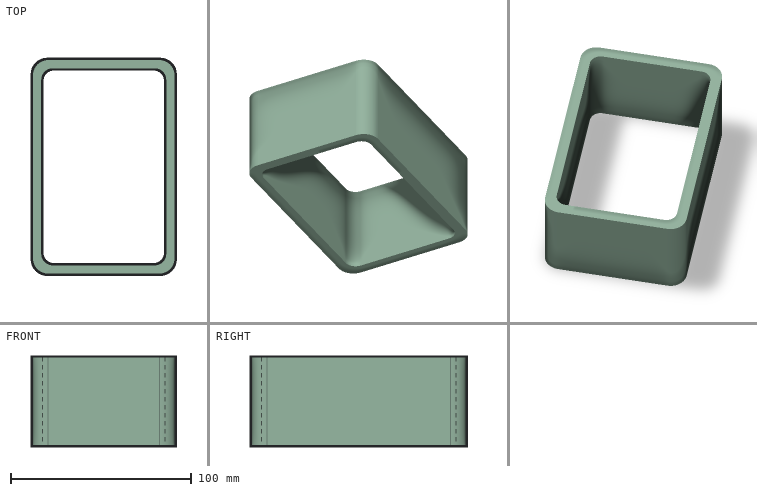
import cadquery as cq

width = 80.0
depth = 120.0
length = 50.0
wall = 6.0
outer_radius = 1.5 * wall
inner_radius = wall


def rounded_block(size_x, size_y, corner_radius):
    """Full-length block, centred in X and Y, with rounded upright edges."""
    block = cq.Workplane("XY").rect(size_x, size_y).extrude(length)
    return block.edges("|Z").fillet(corner_radius)


outside = rounded_block(width, depth, outer_radius)
bore = rounded_block(width - 2 * wall, depth - 2 * wall, inner_radius)

result = outside.cut(bore)